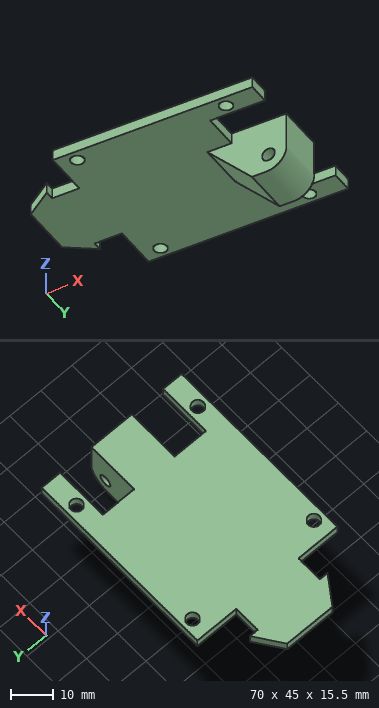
import cadquery as cq

length = 70.0
width = 45.0
thickness = 3.0

head_length = 7.5
neck_end = 2 * head_length
tip_width = 14.55
head_width = 25.0
neck_width = 20.0

notch_depth = 15.1
notch_width = 10.0
tongue_width = 13.0

hole_diameter = 3.5
front_hole_x = 20.0
rear_hole_x = 61.0
hole_edge_distance = 3.0

total_height = 15.5
lug_drop = total_height - thickness
lug_top_start = 48.2
lug_bottom_start = 60.5
lug_corner_radius = 5.6
pin_offset = 5.0


def make_plate():
    upper_edge = [
        (0, tip_width / 2),
        (head_length, head_width / 2),
        (head_length, neck_width / 2),
        (neck_end, neck_width / 2),
        (neck_end, width / 2),
        (length, width / 2),
    ]
    lower_edge = [(x, -y) for x, y in reversed(upper_edge)]
    return cq.Workplane("XY").polyline(upper_edge + lower_edge).close().extrude(thickness)


def make_notches():
    notch_x = length - notch_depth / 2
    notch_y = (tongue_width + notch_width) / 2
    return (
        cq.Workplane("XY")
        .pushPoints([(notch_x, -notch_y), (notch_x, notch_y)])
        .rect(notch_depth, notch_width)
        .extrude(thickness)
    )


def make_mounting_holes():
    hole_y = width / 2 - hole_edge_distance
    centres = [(x, side * hole_y) for x in (front_hole_x, rear_hole_x) for side in (-1, 1)]
    return cq.Workplane("XY").pushPoints(centres).circle(hole_diameter / 2).extrude(thickness)


def make_lug():
    lug = (
        cq.Workplane("XZ")
        .moveTo(lug_top_start, 0)
        .lineTo(lug_bottom_start, -lug_drop)
        .lineTo(length - lug_corner_radius, -lug_drop)
        .radiusArc((length, lug_corner_radius - lug_drop), -lug_corner_radius)
        .lineTo(length, 0)
        .close()
        .extrude(tongue_width / 2, both=True)
    )
    pin_hole = (
        cq.Workplane("XZ")
        .center(length - pin_offset, pin_offset - lug_drop)
        .circle(hole_diameter / 2)
        .extrude(tongue_width / 2, both=True)
    )
    return lug.cut(pin_hole)


plate = make_plate().cut(make_notches()).cut(make_mounting_holes())
result = plate.union(make_lug())